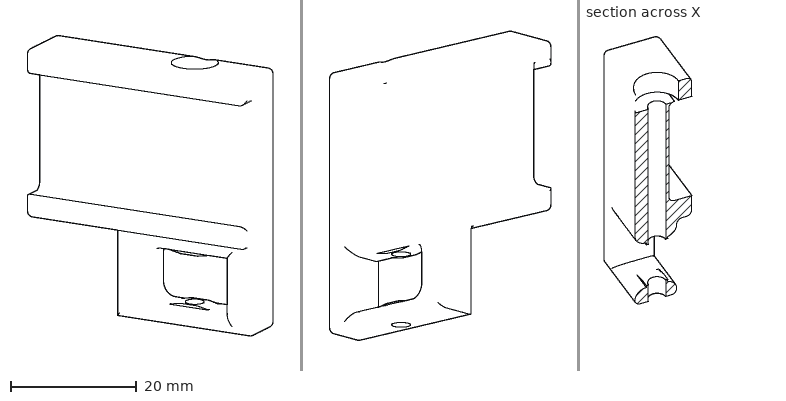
import cadquery as cq

length = 40.0
depth = 10.0
height = 43.0
body_height = 28.0
edge_radius = 1.0
body_bottom = height - body_height

lip_height = 4.0
channel_depth = 4.0
channel_height = body_height - 2 * lip_height

tab_width = 25.03
tab_thickness = 7.4
tab_left = length - tab_width
tab_front = depth - tab_thickness

window_width = 14.05
window_height = 9.0
window_left = 20.45
window_bottom = 3.0
window_corner_radius = 2.0
rim_radius = 1.98
window_top = window_bottom + window_height
window_center_x = window_left + window_width / 2

hole_diameter = 3.0
counterbore_diameter = 7.5
counterbore_depth = lip_height
hole_y = depth - 3.9
pad_top_width = 3.0
pad_base_width = 7.0
pad_height = 0.4
pad_thickness = 3.8
pad_embed = 0.45

slack = 0.45


def block(x, y, z, dx, dy, dz):
    """Box from its minimum corner and its sizes."""
    return cq.Workplane("XY").box(dx, dy, dz, centered=False).translate((x, y, z))


def make_body():
    """Body with the channel and the tab, outer edges rounded."""
    body = block(0, 0, body_bottom, length, depth, body_height)
    channel = block(0, 0, body_bottom + lip_height, length, channel_depth, channel_height)
    channel = channel.edges("|X and >Y").fillet(edge_radius)
    tab = block(tab_left, tab_front, 0, tab_width, tab_thickness, body_bottom)
    solid = body.cut(channel).union(tab)

    channel_zone = cq.selectors.BoxSelector(
        (-slack, -slack, body_bottom + slack),
        (length + slack, depth - slack, height - slack),
    )
    channel_edges = solid.edges("|X").edges(channel_zone)
    tab_corner = solid.edges("|Y and <Z").edges("<X")
    skipped = channel_edges.vals() + tab_corner.vals()
    rounded = [e for e in solid.edges().vals() if not any(e.isSame(s) for s in skipped)]
    return solid.newObject(rounded).fillet(edge_radius)


def make_window():
    """Window cutter that flares out to the front and back faces of the tab."""
    margin = 2 * rim_radius
    slab = block(
        window_left - margin, tab_front, window_bottom - margin,
        window_width + 2 * margin, tab_thickness, window_height + 2 * margin,
    )
    opening = block(window_left, tab_front, window_bottom, window_width, tab_thickness, window_height)
    opening = opening.edges("|Y and <X").fillet(window_corner_radius)
    frame = slab.cut(opening)
    rim = cq.selectors.BoxSelector(
        (window_left - slack, tab_front - slack, window_bottom - slack),
        (window_left + window_width + slack, depth + slack, window_top + slack),
        boundingbox=True,
    )
    frame = frame.edges("#Y").edges(rim).fillet(rim_radius)
    return slab.cut(frame)


def make_pad(surface_z, direction):
    """Ramped pad rising from a window wall; direction is +1 up or -1 down."""
    base_z = surface_z - direction * pad_embed
    top_z = surface_z + direction * pad_height
    half_base = pad_base_width / 2
    half_top = pad_top_width / 2
    return (
        cq.Workplane("XZ", origin=(window_center_x, hole_y, 0))
        .polyline([
            (-half_base, base_z), (-half_base, surface_z), (-half_top, top_z),
            (half_top, top_z), (half_base, surface_z), (half_base, base_z),
        ])
        .close()
        .extrude(pad_thickness / 2, both=True)
    )


def make_screw_hole():
    """Through hole with a counterbore from the top."""
    axis = cq.Workplane("XY", origin=(window_center_x, hole_y, 0))
    hole = axis.circle(hole_diameter / 2).extrude(height)
    counterbore = (
        axis.workplane(offset=height - counterbore_depth)
        .circle(counterbore_diameter / 2)
        .extrude(counterbore_depth)
    )
    return hole.union(counterbore)


result = (
    make_body()
    .cut(make_window())
    .union(make_pad(window_bottom, 1))
    .union(make_pad(window_top, -1))
    .cut(make_screw_hole())
)